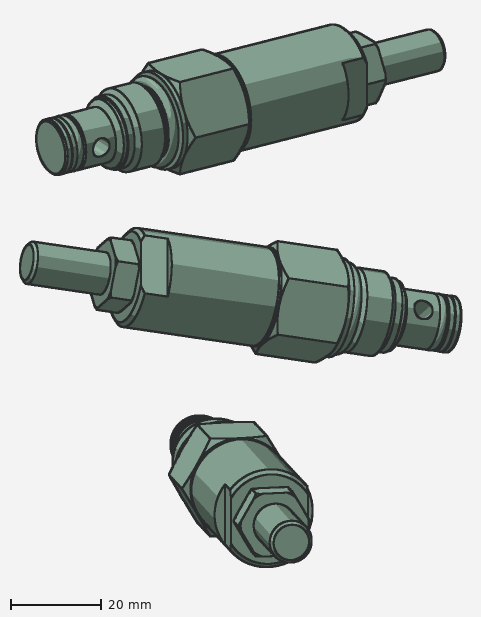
import cadquery as cq
import math


CUT_MARGIN = 1.0

nose_dia = 12.7
nose_tip_chamfer = 0.4
cross_hole_dia = 4.37
cross_hole_y = 9.27

slot_dia = 9.83
slot_start_y = 1.54
slot_width = 0.22
land_dia = 12.6

nose_groove_dia = 9.91
nose_groove_start_y = 3.0
nose_groove_width = 2.28
nose_ring_dia = 12.78
nose_ring_section = 1.8

shoulder_dia = 15.88
shoulder_start_y = 14.17
shoulder_cone_length = 1.0
collar_dia = 16.76
collar_start_y = 15.11

thread_dia = 19.05
thread_end_y = 24.0
thread_start_y = 17.9
thread_lead_chamfer = (thread_dia - collar_dia) / 2

thread_groove_dia = 16.56
thread_ring_dia = 20.76
thread_ring_section = 2.21
thread_ring_clearance = 0.17
flange_face_y = 27.75
flange_length = 1.2

hex_across_flats = 22.23
hex_start_y = flange_face_y + flange_length
hex_length = 16.2
hex_end_y = hex_start_y + hex_length

neck_dia = 21.9
neck_length = 0.6
sleeve_dia = hex_across_flats
sleeve_start_y = hex_end_y + neck_length
sleeve_end_y = 77.88
sleeve_chamfer = 0.95
sleeve_across_flats = 17.46
sleeve_flat_length = 6.45

nut_across_flats = 14.29
nut_length = 5.57
nut_chamfer_dia = 15.4
stem_dia = 9.53
stem_end_y = 101.6
stem_chamfer = 0.75

HEX_CHAMFER_ANGLE = math.radians(30)


def rod(diameter, start_y, end_y):
    """Plain round bar along Y."""
    return cq.Workplane("XZ", origin=(0, start_y, 0)).circle(diameter / 2).extrude(start_y - end_y)


def turned(points):
    """Solid of revolution about Y from (radius, y) points, closed along the axis."""
    profile = [(0, points[0][1])] + points + [(0, points[-1][1])]
    return cq.Workplane("XY").polyline(profile).close().revolve(360, (0, 0), (0, 1))


def chamfered_hexagon(across_flats, start_y, length, end_face_dia):
    """Hexagonal prism along Y whose corners are turned down to end_face_dia at both ends."""
    corner_dia = across_flats / math.cos(math.pi / 6)
    end_y = start_y + length
    prism = (
        cq.Workplane("XZ", origin=(0, start_y, 0))
        .polygon(6, corner_dia)
        .extrude(-length)
    )
    envelope_radius = corner_dia / 2 + CUT_MARGIN
    cone_length = (envelope_radius - end_face_dia / 2) * math.tan(HEX_CHAMFER_ANGLE)
    envelope = turned([
        (end_face_dia / 2, start_y),
        (envelope_radius, start_y + cone_length),
        (envelope_radius, end_y - cone_length),
        (end_face_dia / 2, end_y),
    ])
    return prism.intersect(envelope)


def o_ring(outer_dia, section, floor_dia, centre_y):
    """Round-section ring about Y, pressed flat inside where it bears on its groove floor."""
    section_radius = section / 2
    floor_radius = floor_dia / 2
    floor_depth = outer_dia / 2 - section_radius - floor_radius
    half_flat = math.sqrt(section_radius**2 - floor_depth**2)
    return (
        cq.Workplane("XY")
        .moveTo(floor_radius, centre_y - half_flat)
        .threePointArc((outer_dia / 2, centre_y), (floor_radius, centre_y + half_flat))
        .close()
        .revolve(360, (0, 0), (0, 1))
    )


def make_nose():
    """Nose, stepped shoulders, threaded section and flange, turned as one profile."""
    slot_end_y = slot_start_y + slot_width
    groove_end_y = nose_groove_start_y + nose_groove_width
    runout_length = (thread_dia - thread_groove_dia) / 2
    nose = turned([
        (nose_dia / 2 - nose_tip_chamfer, 0),
        (nose_dia / 2, nose_tip_chamfer),
        (nose_dia / 2, slot_start_y),
        (slot_dia / 2, slot_start_y),
        (slot_dia / 2, slot_end_y),
        (land_dia / 2, slot_end_y),
        (land_dia / 2, nose_groove_start_y),
        (nose_groove_dia / 2, nose_groove_start_y),
        (nose_groove_dia / 2, groove_end_y),
        (nose_dia / 2, groove_end_y),
        (nose_dia / 2, shoulder_start_y - shoulder_cone_length),
        (shoulder_dia / 2, shoulder_start_y),
        (shoulder_dia / 2, collar_start_y),
        (collar_dia / 2, collar_start_y),
        (collar_dia / 2, thread_start_y - thread_lead_chamfer),
        (thread_dia / 2, thread_start_y),
        (thread_dia / 2, thread_end_y),
        (thread_groove_dia / 2, thread_end_y + runout_length),
        (thread_groove_dia / 2, flange_face_y),
        (hex_across_flats / 2, flange_face_y),
        (hex_across_flats / 2, hex_start_y),
    ])
    cross_hole = (
        cq.Workplane("YZ", origin=(0, cross_hole_y, 0))
        .circle(cross_hole_dia / 2)
        .extrude(nose_dia / 2 + CUT_MARGIN, both=True)
    )
    return nose.cut(cross_hole)


def make_sleeve():
    """Adjuster sleeve with a chamfered end and two wrench flats facing +X and -X."""
    sleeve = rod(sleeve_dia, sleeve_start_y, sleeve_end_y).faces(">Y").chamfer(sleeve_chamfer)
    flat_depth = (sleeve_dia - sleeve_across_flats) / 2 + CUT_MARGIN
    for side in (-1, 1):
        cutter = cq.Workplane("XY").box(
            flat_depth, 2 * sleeve_flat_length, sleeve_dia + CUT_MARGIN
        )
        offset_x = side * (sleeve_across_flats + flat_depth) / 2
        sleeve = sleeve.cut(cutter.translate((offset_x, sleeve_end_y, 0)))
    return sleeve


def make_valve_body():
    """Nose, hexagon, neck, sleeve, lock nut and stem as one solid."""
    hexagon = chamfered_hexagon(hex_across_flats, hex_start_y, hex_length, hex_across_flats)
    neck = rod(neck_dia, hex_end_y, sleeve_start_y)
    nut = chamfered_hexagon(nut_across_flats, sleeve_end_y, nut_length, nut_chamfer_dia)
    stem = rod(stem_dia, sleeve_end_y + nut_length, stem_end_y).faces(">Y").chamfer(stem_chamfer)
    body = make_nose()
    for section in (hexagon, neck, make_sleeve(), nut, stem):
        body = body.union(section)
    return body


valve_body = make_valve_body()
thread_o_ring = o_ring(
    thread_ring_dia,
    thread_ring_section,
    thread_groove_dia,
    flange_face_y - thread_ring_clearance - thread_ring_section / 2,
)
nose_o_ring = o_ring(
    nose_ring_dia,
    nose_ring_section,
    nose_groove_dia,
    nose_groove_start_y + nose_groove_width / 2,
)

result = cq.Compound.makeCompound([valve_body.val(), thread_o_ring.val(), nose_o_ring.val()])